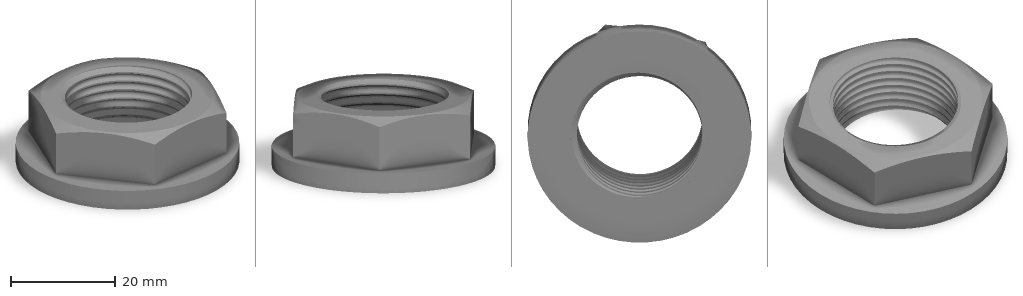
import cadquery as cq
import math

total_height = 14.0
flange_diameter = 43.0
flange_height = 4.0
across_flats = 34.0
across_corners = across_flats / math.cos(math.radians(30))

top_face_diameter = 33.32
chamfer_angle = 25.0

bore_diameter = 26.45
thread_pitch = 1.8
thread_depth = 1.15
crest_width = 0.3
flank_angle = 27.5
crest_angle_at_top = -20.0

bore_radius = bore_diameter / 2


def chamfer_envelope():
    """Revolved outline whose sloping top cuts the corners of the hexagon."""
    top_radius = top_face_diameter / 2
    rim_radius = flange_diameter / 2
    drop = (rim_radius - top_radius) * math.tan(math.radians(chamfer_angle))
    return (
        cq.Workplane("XZ")
        .polyline([
            (0, 0),
            (rim_radius, 0),
            (rim_radius, total_height - drop),
            (top_radius, total_height),
            (0, total_height),
        ])
        .close()
        .revolve(360, (0, 0, 0), (0, 1, 0))
    )


def make_nut():
    """Hexagon with two corners on the Y axis, on a round flange, bored through."""
    hexagon = (
        cq.Workplane("XY")
        .transformed(rotate=(0, 0, 90))
        .polygon(6, across_corners)
        .extrude(total_height)
        .intersect(chamfer_envelope())
    )
    flange = cq.Workplane("XY").circle(flange_diameter / 2).extrude(flange_height)
    bore = cq.Workplane("XY").circle(bore_radius).extrude(total_height)
    return hexagon.union(flange).cut(bore)


def make_thread():
    """Helical ridge trimmed flush with both end faces."""
    turns = math.ceil(total_height / thread_pitch) + 2
    start_z = total_height - (turns - 1) * thread_pitch
    crest_radius = bore_radius - thread_depth
    half_crest = crest_width / 2
    half_root = half_crest + thread_depth * math.tan(math.radians(flank_angle))

    def helix(radius, offset):
        return cq.Wire.makeHelix(thread_pitch, turns * thread_pitch, radius, cq.Vector(0, 0, offset))

    section = [
        (crest_radius, -half_crest),
        (bore_radius, -half_root),
        (bore_radius, half_root),
        (crest_radius, half_crest),
    ]
    edges = [helix(radius, offset) for radius, offset in section]
    faces = [cq.Face.makeRuledSurface(edges[i - 1], edges[i]) for i in range(len(edges))]
    for end_z in (0, turns * thread_pitch):
        corners = [cq.Vector(radius, 0, end_z + offset) for radius, offset in section]
        faces.append(cq.Face.makeFromWires(cq.Wire.makePolygon(corners, close=True)))
    ridge = cq.Workplane(cq.Solid.makeSolid(cq.Shell.makeShell(faces)))
    ridge = ridge.rotate((0, 0, 0), (0, 0, 1), crest_angle_at_top).translate((0, 0, start_z))

    height_block = cq.Workplane("XY").rect(flange_diameter, flange_diameter).extrude(total_height)
    return ridge.intersect(height_block)


nut = make_nut()
thread = make_thread()

result = cq.Compound.makeCompound([*nut.vals(), *thread.vals()])